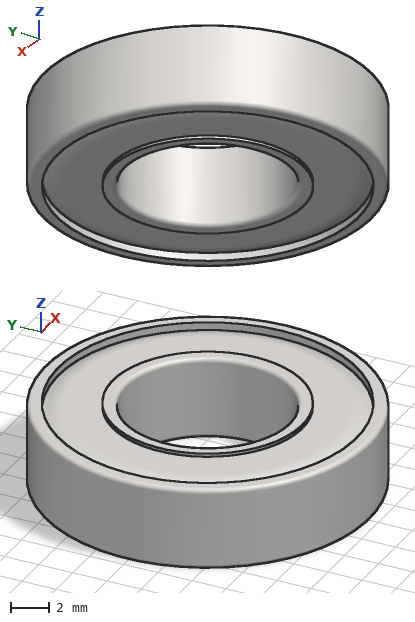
import cadquery as cq
import math

outer_radius = 9.52
bore_radius = outer_radius / 2
width = 4.76
edge_fillet = 0.25

inner_ring_radius = 5.55
outer_ring_radius = 8.72
shield_flat_radius = 7.62
shield_bend_radius = 8.23
shield_depth = 0.2
rim_slope = math.radians(19)

half_width = width / 2
shield_height = half_width - shield_depth

bend_arc_radius = (shield_bend_radius - shield_flat_radius) / math.sin(rim_slope)


def bend_point(angle):
    """Point on the bend where the shield slopes down at the given angle."""
    radius = shield_flat_radius + bend_arc_radius * math.sin(angle)
    height = shield_height - bend_arc_radius * (1 - math.cos(angle))
    return radius, height


bend_middle = bend_point(rim_slope / 2)
bend_end = bend_point(rim_slope)
rim_height = bend_end[1] - (outer_ring_radius - shield_bend_radius) * math.tan(rim_slope)


def shield_recess():
    """Ring of material removed above the upper shield."""
    return (
        cq.Workplane("XZ")
        .moveTo(inner_ring_radius, half_width)
        .lineTo(inner_ring_radius, shield_height)
        .lineTo(shield_flat_radius, shield_height)
        .threePointArc(bend_middle, bend_end)
        .lineTo(outer_ring_radius, rim_height)
        .lineTo(outer_ring_radius, half_width)
        .close()
        .revolve(360, (0, 0, 0), (0, 1, 0))
    )


ring = (
    cq.Workplane("XY", origin=(0, 0, -half_width))
    .circle(outer_radius)
    .circle(bore_radius)
    .extrude(width)
    .faces("<Z or >Z")
    .edges()
    .fillet(edge_fillet)
)

upper_recess = shield_recess()
lower_recess = upper_recess.mirror("XY")
result = ring.cut(upper_recess).cut(lower_recess)